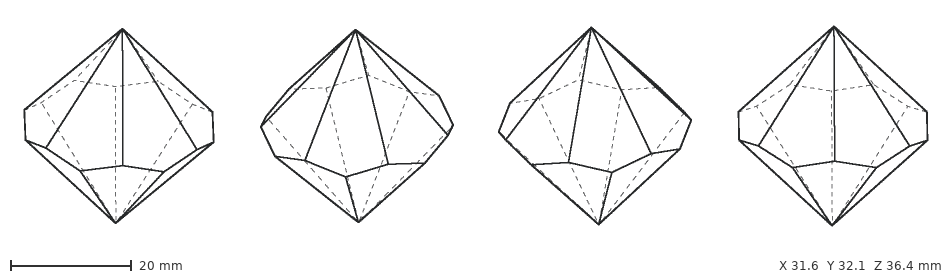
import cadquery as cq
import math

SIDES = 7
HEIGHT = 36.4
RIM_RADIUS = 16.05
LEAN = 2.0
LOW_CORNER_ANGLE = -87.6

CORNERS = 2 * SIDES
CORNER_STEP = 360.0 / CORNERS
apex_height = HEIGHT / 2 / math.cos(math.radians(LEAN))
rim_rise = apex_height * math.tan(math.pi / CORNERS) ** 2


def rim_corner(index):
    """Rim corner by index: even corners lie low, odd corners lie high."""
    angle = math.radians(LOW_CORNER_ANGLE + index * CORNER_STEP)
    height = rim_rise if index % 2 else -rim_rise
    return cq.Vector(RIM_RADIUS * math.cos(angle), RIM_RADIUS * math.sin(angle), height)


def kite_face(index):
    """Kite centred on one rim corner: low corners face the top apex, high ones the bottom."""
    apex = cq.Vector(0, 0, -apex_height if index % 2 else apex_height)
    corners = [apex, rim_corner(index - 1), rim_corner(index), rim_corner(index + 1)]
    return cq.Face.makeFromWires(cq.Wire.makePolygon(corners, close=True))


faces = [kite_face(index) for index in range(CORNERS)]
die = cq.Solid.makeSolid(cq.Shell.makeShell(faces))

result = cq.Workplane("XY").add(die).rotate((0, 0, 0), (0, 1, 0), LEAN)